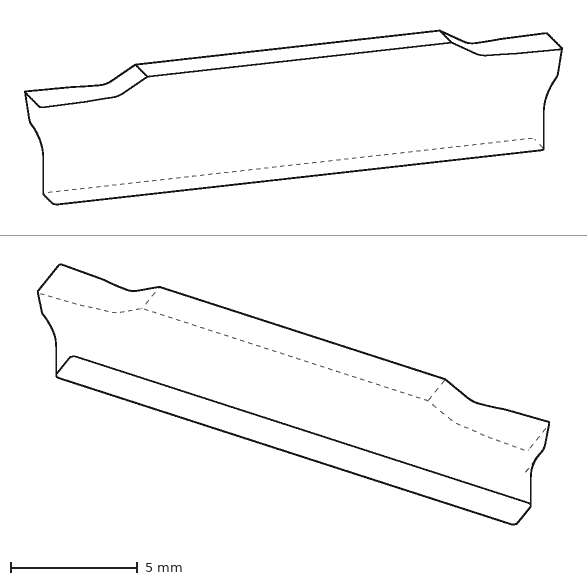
import cadquery as cq
import math

length = 21.7
height = 4.93
cutting_width = 2.0
body_width = 1.5

seat_drop = 0.7
tip_overhang = 0.65
front_face_height = 1.24
front_clearance = 7.0
neck_top = 1.43
ramp_angle = 30.0
ramp_radius = 1.0
seat_length = 3.05

taper_angle = 2.75
relief_angle = 5.5
flank_radius = 8.0
end_fillet = 0.2
corner_fillet = 0.1

tip_y = length / 2
body_end_y = tip_y - tip_overhang
seat_z = height - seat_drop
face_bottom_y = tip_y - front_face_height * math.tan(math.radians(front_clearance))
face_bottom_z = seat_z - front_face_height
ramp_start_y = tip_y - seat_length - ramp_radius * math.sin(math.radians(ramp_angle))
ramp_start_z = seat_z + ramp_radius * (1 - math.cos(math.radians(ramp_angle)))
ramp_top_y = ramp_start_y - (height - ramp_start_z) / math.tan(math.radians(ramp_angle))

corner_setback = corner_fillet * math.tan(math.radians((90 - taper_angle) / 2))
sharp_corner_x = cutting_width / 2 + corner_setback * math.sin(math.radians(taper_angle))


def half_profile(width):
    """The +Y half of the side profile, extruded symmetrically across X."""
    half_turn = math.radians(ramp_angle / 2)
    ramp_arc_middle = (
        tip_y - seat_length - ramp_radius * math.sin(half_turn),
        seat_z + ramp_radius * (1 - math.cos(half_turn)),
    )
    return (
        cq.Workplane("YZ")
        .moveTo(0, 0)
        .lineTo(body_end_y, 0)
        .lineTo(body_end_y, neck_top)
        .tangentArcPoint((face_bottom_y, face_bottom_z), relative=False)
        .lineTo(tip_y, seat_z)
        .lineTo(tip_y - seat_length, seat_z)
        .threePointArc(ramp_arc_middle, (ramp_start_y, ramp_start_z))
        .lineTo(ramp_top_y, height)
        .lineTo(0, height)
        .close()
        .extrude(width / 2, both=True)
    )


def relief_half_space(side):
    """Large block inside the sloping relief plane on one side (+1 or -1 along X)."""
    taper = math.tan(math.radians(taper_angle))
    relief = math.tan(math.radians(relief_angle))
    edge_corner = (side * sharp_corner_x, tip_y, seat_z)
    outward = (side, -taper, -relief)
    block = 4 * length
    return cq.Workplane(cq.Plane(origin=edge_corner, normal=outward)).rect(block, block).extrude(-block)


def flank_envelope():
    """Upright block whose hollow sides meet the body sides tangentially."""
    half_body = body_width / 2

    def flank_x(y):
        return half_body + flank_radius - math.sqrt(flank_radius**2 - (y - ramp_start_y) ** 2)

    middle_y = (ramp_start_y + tip_y) / 2
    return (
        cq.Workplane("XY")
        .moveTo(-half_body, ramp_start_y)
        .lineTo(half_body, ramp_start_y)
        .threePointArc((flank_x(middle_y), middle_y), (flank_x(tip_y), tip_y))
        .lineTo(-flank_x(tip_y), tip_y)
        .threePointArc((-flank_x(middle_y), middle_y), (-half_body, ramp_start_y))
        .close()
        .extrude(height)
    )


def flared_head():
    """The widened tip, bounded by the relief planes and the hollow flanks."""
    head = half_profile(2 * sharp_corner_x).intersect(flank_envelope())
    for side in (1, -1):
        head = head.intersect(relief_half_space(side))
    return head


def round_edges(half, bottom_z, top_z, radius):
    """Round the upright end edges whose middles lie between two heights, on both sides."""
    margin = 0.01
    inner_x = body_width / 2 - margin
    outer_x = cutting_width / 2
    inner_y = body_end_y - margin
    right_side = cq.selectors.BoxSelector((inner_x, inner_y, bottom_z), (outer_x, tip_y, top_z))
    left_side = cq.selectors.BoxSelector((-outer_x, inner_y, bottom_z), (-inner_x, tip_y, top_z))
    return half.edges(right_side + left_side).fillet(radius)


half = half_profile(body_width).union(flared_head())
half = round_edges(half, 0, face_bottom_z, end_fillet)
half = round_edges(half, (face_bottom_z + seat_z) / 2, seat_z, corner_fillet)
result = half.union(half.mirror("XZ")).clean()